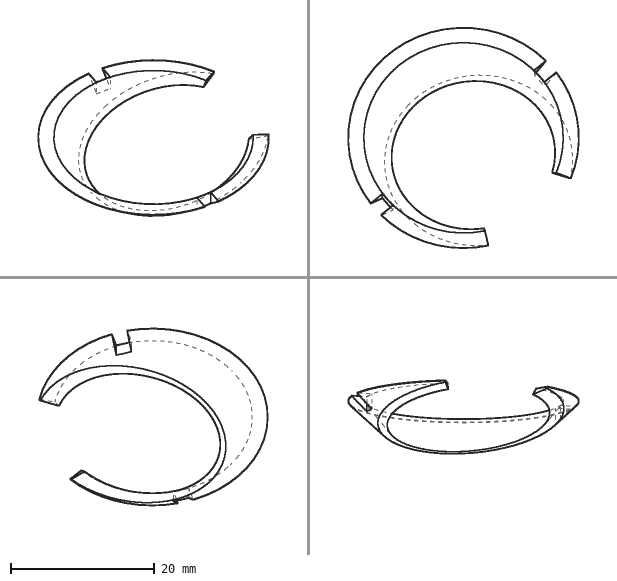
import cadquery as cq
import math

slot_width = 2.22
slot_span = 32.12
height = 5.7
rim_height = 0.1
top_inner_radius = 13.9
low_outer_radius = 10.15
inner_taper = 0.82
base_slope_angle = 12.65
gap_half_angle = 28.0

top_outer_radius = math.hypot(slot_span / 2, slot_width / 2)
low_inner_radius = top_inner_radius - inner_taper * height
clearance = 3.2
cutter_reach = 2 * top_outer_radius


def tapered_ring():
    """Ring with conical inner and outer walls, revolved about Z."""
    profile = (
        cq.Workplane("XZ")
        .moveTo(top_inner_radius, 0)
        .lineTo(top_outer_radius, 0)
        .lineTo(top_outer_radius, -rim_height)
        .lineTo(low_outer_radius, -height)
        .lineTo(low_inner_radius, -height)
        .close()
    )
    return profile.revolve(360, (0, 0, 0), (0, 1, 0))


def underside_cutter():
    """Everything below the tilted plane through the lowest outer point."""
    rise = math.tan(math.radians(base_slope_angle))
    front_z = -height - rise * (cutter_reach - low_outer_radius)
    back_z = -height + rise * (cutter_reach + low_outer_radius)
    floor_z = front_z - clearance
    outline = [
        (-cutter_reach, front_z),
        (cutter_reach, back_z),
        (cutter_reach, floor_z),
        (-cutter_reach, floor_z),
    ]
    return cq.Workplane("YZ").polyline(outline).close().extrude(cutter_reach, both=True)


def gap_cutter():
    """Wedge with radial sides that opens the ring toward +Y."""
    half_width = cutter_reach * math.tan(math.radians(gap_half_angle))
    outline = [(0, 0), (half_width, cutter_reach), (-half_width, cutter_reach)]
    return cq.Workplane("XY").polyline(outline).close().extrude(height + clearance, both=True)


def slot_cutter(side):
    """Vertical slot from outside up to the inner rim; side is +1 or -1 along X."""
    length = top_outer_radius - top_inner_radius + clearance
    center_x = side * (top_inner_radius + length / 2)
    slot = cq.Workplane("XY").center(center_x, 0).rect(length, slot_width)
    return slot.extrude(height + clearance, both=True)


result = tapered_ring().cut(underside_cutter()).cut(gap_cutter())
for side in (-1, 1):
    result = result.cut(slot_cutter(side))